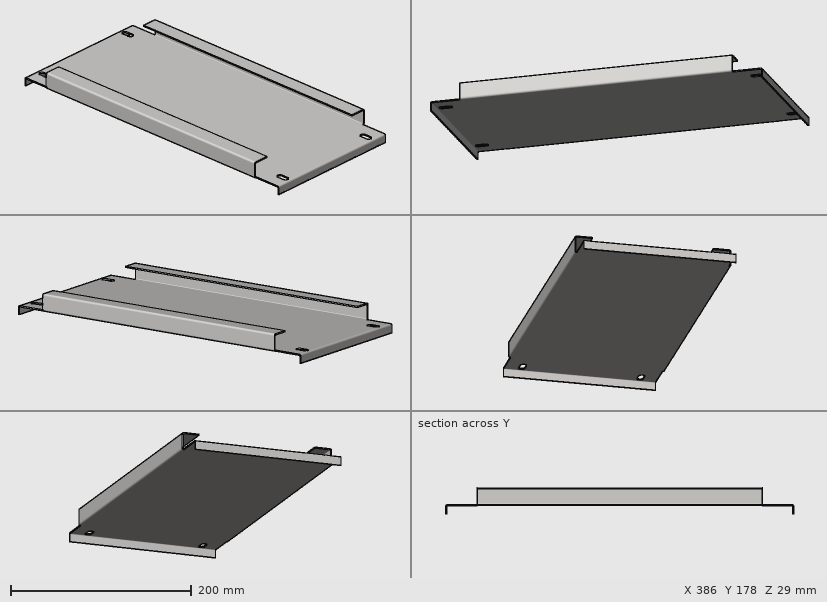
import cadquery as cq

length = 386.0
width = 178.0
height = 29.0

thickness = 1.5
bend_radius = 2.5
inner_radius = bend_radius - thickness

channel_length = 316.5
channel_height = 20.0
lip_width = 20.0

plate_width = width - 2 * bend_radius
plate_bottom = height - channel_height
plate_top = plate_bottom + thickness

slot_length = 15.0
slot_width = 7.0
slot_spacing_x = 362.0
slot_spacing_y = 134.7


def make_end_flanged_plate():
    """Plate with both ends bent down, extruded across the width."""
    outer = cq.Workplane("XZ").rect(length, plate_top).extrude(plate_width / 2, both=True)
    outer = outer.translate((0, 0, plate_top / 2))
    outer = outer.edges("|Y and >Z").fillet(bend_radius)
    inner = cq.Workplane("XZ").rect(length - 2 * thickness, plate_bottom).extrude(plate_width / 2, both=True)
    inner = inner.translate((0, 0, plate_bottom / 2))
    inner = inner.edges("|Y and >Z").fillet(inner_radius)
    return outer.cut(inner)


def make_channel():
    """Open-topped C section with a floor, two walls and two inward lips."""
    middle_height = plate_bottom + channel_height / 2
    outer = cq.Workplane("XY").box(channel_length, width, channel_height)
    outer = outer.edges("|X").fillet(bend_radius)
    inner = cq.Workplane("XY").box(channel_length, width - 2 * thickness, channel_height - 2 * thickness)
    inner = inner.edges("|X").fillet(inner_radius)
    opening = cq.Workplane("XY").box(
        channel_length, width - 2 * lip_width, channel_height / 2, centered=(True, True, False)
    )
    return outer.cut(inner).cut(opening).translate((0, 0, middle_height))


def make_slots():
    """Four slots through the plate, long along X."""
    return (
        cq.Workplane("XY")
        .workplane(offset=plate_bottom)
        .rarray(slot_spacing_x, slot_spacing_y, 2, 2)
        .slot2D(slot_length, slot_width)
        .extrude(thickness)
    )


result = make_end_flanged_plate().union(make_channel()).cut(make_slots())